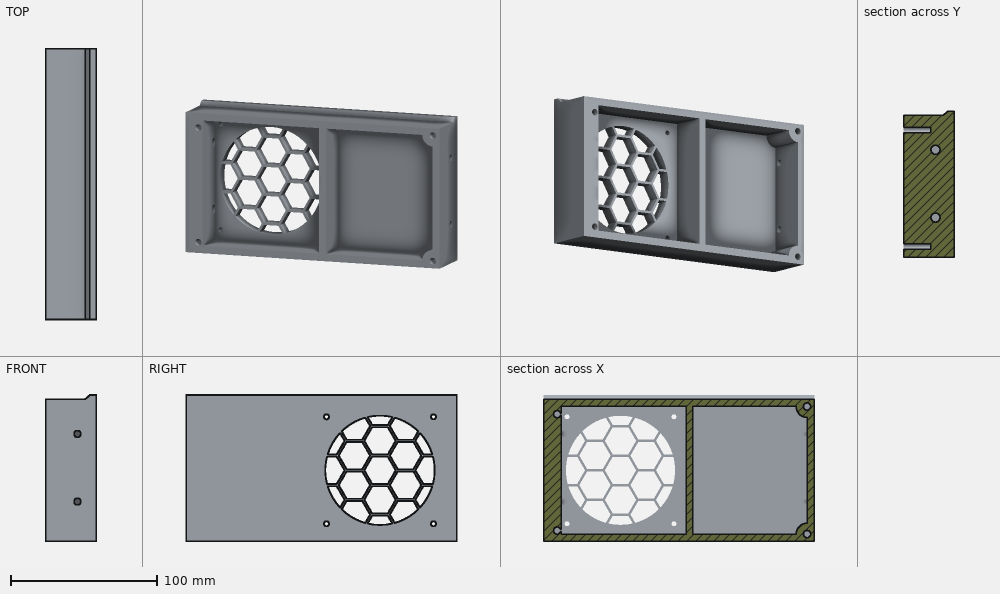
import cadquery as cq
import math

depth = 34.8
length = 185.0
overall_height = 100.0
lip_height = 3.0
lip_land = 4.5
lip_run = 3.3
body_height = overall_height - lip_height

wall = 5.0
end_wall = 12.2
floor_thickness = 8.7
fan_pocket_length = 85.0
pocket_depth = depth - floor_thickness
pocket_height = body_height - 2 * wall
mid_height = body_height / 2
fan_pocket_max_y = length / 2 - end_wall
fan_pocket_min_y = fan_pocket_max_y - fan_pocket_length
side_pocket_max_y = fan_pocket_min_y - wall
side_pocket_min_y = -length / 2 + wall

fan_center_y = 40.0
fan_diameter = 74.5
cell_pitch = 20.2
rib_width = 1.7
fan_screw_spacing = 73.0
fan_screw_diameter = 3.3

cover_screw_diameter = 4.6
cover_screw_depth = 18.5
boss_radius = 7.5
end_screw_y = 83.3
end_screw_mid_z = 47.2
end_screw_spacing = 79.5

screw_hole_diameter = 4.6
recess_diameter = 6.0
recess_depth = 3.0
cross_hole_x = 21.8
cross_hole_spacing = 46.3
cross_hole_mid_z = 50.3


def make_body():
    """Side profile with the sloped lip along the rear top edge, extruded along Y."""
    return (
        cq.Workplane("XZ", origin=(0, length / 2, 0))
        .moveTo(0, 0)
        .lineTo(depth, 0)
        .lineTo(depth, overall_height)
        .lineTo(depth - lip_land, overall_height)
        .lineTo(depth - lip_land - lip_run, body_height)
        .lineTo(0, body_height)
        .close()
        .extrude(length)
    )


def make_pocket(min_y, max_y):
    """Rectangular pocket sunk from the open face."""
    return (
        cq.Workplane("XY", origin=(0, min_y, wall))
        .box(pocket_depth, max_y - min_y, pocket_height, centered=False)
    )


def make_rods(points, diameter, rod_length, start_x=0):
    """Cylinders along +X at the given (Y, Z) points."""
    return (
        cq.Workplane("YZ", origin=(start_x, 0, 0))
        .pushPoints(points)
        .circle(diameter / 2)
        .extrude(rod_length)
    )


def make_fan_grille():
    """Hexagonal cells, clipped to the round fan opening."""
    column_pitch = cell_pitch * math.sqrt(3) / 2
    reach = math.ceil(fan_diameter / 2 / column_pitch)
    centers = []
    for column in range(-reach, reach + 1):
        for row in range(-reach, reach + 1):
            y = column * column_pitch
            z = (row + (column % 2) / 2) * cell_pitch
            centers.append((fan_center_y + y, mid_height + z))
    cell_corner_diameter = (cell_pitch - rib_width) * 2 / math.sqrt(3)
    cells = (
        cq.Workplane("YZ", origin=(pocket_depth, 0, 0))
        .pushPoints(centers)
        .polygon(6, cell_corner_diameter)
        .extrude(floor_thickness)
    )
    opening = make_rods([(fan_center_y, mid_height)], fan_diameter, floor_thickness, pocket_depth)
    return cells.intersect(opening)


def make_cross_holes(start_y, diameter, drill_depth):
    """Pair of holes drilled toward -Y from start_y."""
    return (
        cq.Workplane("XZ", origin=(cross_hole_x, start_y, cross_hole_mid_z))
        .pushPoints([(0, side * cross_hole_spacing / 2) for side in (-1, 1)])
        .circle(diameter / 2)
        .extrude(drill_depth)
    )


corner_points = [(side_pocket_min_y, wall), (side_pocket_min_y, body_height - wall)]
end_points = [(end_screw_y, end_screw_mid_z + side * end_screw_spacing / 2) for side in (-1, 1)]
fan_screw_points = [
    (fan_center_y + side_y * fan_screw_spacing / 2, mid_height + side_z * fan_screw_spacing / 2)
    for side_y in (-1, 1)
    for side_z in (-1, 1)
]

side_pocket = make_pocket(side_pocket_min_y, side_pocket_max_y).cut(
    make_rods(corner_points, 2 * boss_radius, pocket_depth)
)
fan_pocket = make_pocket(fan_pocket_min_y, fan_pocket_max_y)

result = (
    make_body()
    .cut(fan_pocket)
    .cut(side_pocket)
    .cut(make_fan_grille())
    .cut(make_rods(fan_screw_points, fan_screw_diameter, depth))
    .cut(make_rods(corner_points + end_points, cover_screw_diameter, cover_screw_depth))
    .cut(make_cross_holes(fan_pocket_max_y + recess_depth, recess_diameter, recess_depth))
    .cut(make_cross_holes(side_pocket_min_y, screw_hole_diameter, wall))
)